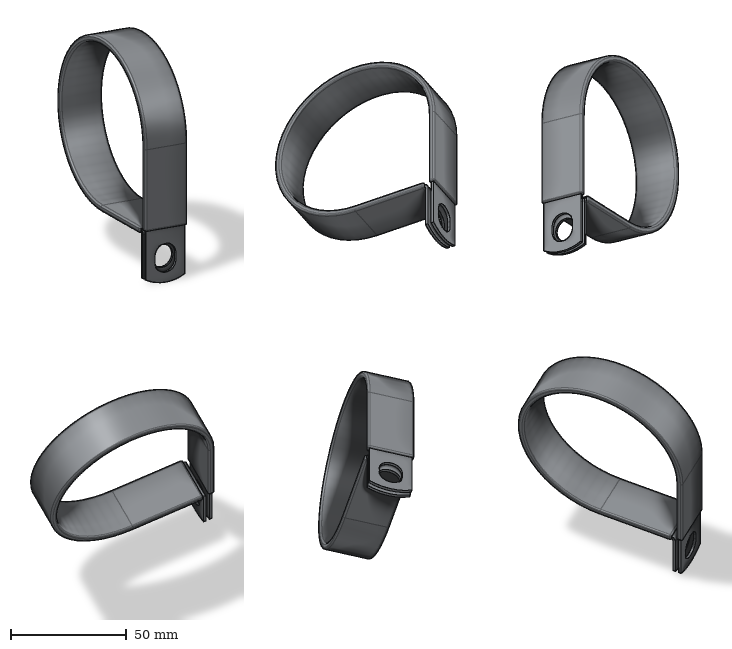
import cadquery as cq
import math

COS_45 = math.sqrt(0.5)


inner_diameter = 73.025
cushion_thickness = 0.79375
strap_thickness = 1.2192
strap_width = 19.05
bend_inner_radius = 1.17
cushion_end_x = 33.97
tab_tip_drop = 61.9125
hole_drop = 50.8
hole_diameter = 10.3
slot_length = 13.1
tip_radius = 20.6

cushion_inner_radius = inner_diameter / 2
strap_inner_radius = cushion_inner_radius + cushion_thickness
strap_outer_radius = strap_inner_radius + strap_thickness
cushion_outer_radius = strap_outer_radius + cushion_thickness
cushion_width = strap_width + 2 * cushion_thickness
tab_gap = 2 * cushion_thickness
bend_outer_radius = bend_inner_radius + strap_thickness
bent_tab_face_x = strap_inner_radius - tab_gap
bent_tab_back_x = bent_tab_face_x - strap_thickness
bend_start_x = bent_tab_face_x - bend_outer_radius
cushion_end_z = -strap_inner_radius


def loop_band(inner_radius, outer_radius, lower_end_x, upright_end_z, width):
    """Band of three quarters of a circle, with a tangent leg along X and a tangent leg down Z."""
    profile = (
        cq.Workplane("XZ")
        .moveTo(lower_end_x, -outer_radius)
        .lineTo(0, -outer_radius)
        .threePointArc((-outer_radius * COS_45, outer_radius * COS_45), (outer_radius, 0))
        .lineTo(outer_radius, upright_end_z)
        .lineTo(inner_radius, upright_end_z)
        .lineTo(inner_radius, 0)
        .threePointArc((-inner_radius * COS_45, inner_radius * COS_45), (0, -inner_radius))
        .lineTo(lower_end_x, -inner_radius)
        .close()
    )
    return profile.extrude(width / 2, both=True)


def make_cushion():
    """Cushion with every outside edge rounded, stopping short of both tabs."""
    band = loop_band(
        cushion_inner_radius, cushion_outer_radius, cushion_end_x, cushion_end_z, cushion_width
    )
    side_edges = band.faces("<Y or >Y").edges()
    middle_radius = (cushion_inner_radius + cushion_outer_radius) / 2
    upright_point = (middle_radius, 0, cushion_end_z)
    lower_point = (cushion_end_x, 0, -middle_radius)
    upright_end = band.faces(cq.selectors.NearestToPointSelector(upright_point)).edges("|Y")
    lower_end = band.faces(cq.selectors.NearestToPointSelector(lower_point)).edges("|Y")
    return side_edges.add(upright_end).add(lower_end).fillet(cushion_thickness)


def make_bent_tab():
    """Tab that turns down from the end of the lower leg."""
    bend_center_z = -strap_inner_radius - bend_outer_radius
    profile = (
        cq.Workplane("XZ")
        .moveTo(bend_start_x, -strap_outer_radius)
        .threePointArc(
            (bend_start_x + bend_inner_radius * COS_45, bend_center_z + bend_inner_radius * COS_45),
            (bent_tab_back_x, bend_center_z),
        )
        .lineTo(bent_tab_back_x, -tab_tip_drop)
        .lineTo(bent_tab_face_x, -tab_tip_drop)
        .lineTo(bent_tab_face_x, bend_center_z)
        .threePointArc(
            (bend_start_x + bend_outer_radius * COS_45, bend_center_z + bend_outer_radius * COS_45),
            (bend_start_x, -strap_inner_radius),
        )
        .close()
    )
    return profile.extrude(strap_width / 2, both=True)


def below_tips_cutter():
    """Material removed below the rounded tips of both tabs."""
    half_width = strap_width / 2
    corner_z = -tab_tip_drop + tip_radius - math.sqrt(tip_radius**2 - half_width**2)
    return (
        cq.Workplane("YZ")
        .moveTo(-half_width, corner_z)
        .threePointArc((0, -tab_tip_drop), (half_width, corner_z))
        .lineTo(half_width, -tab_tip_drop)
        .lineTo(-half_width, -tab_tip_drop)
        .close()
        .extrude(cushion_outer_radius)
    )


def hole_cutter():
    """Round bolt hole through the bent tab."""
    return (
        cq.Workplane("YZ", origin=(bent_tab_back_x, 0, -hole_drop))
        .circle(hole_diameter / 2)
        .extrude(strap_thickness)
    )


def slot_cutter():
    """Adjustment slot through the straight tab, level with the bolt hole."""
    return (
        cq.Workplane("YZ", origin=(strap_inner_radius, 0, -hole_drop))
        .slot2D(slot_length, hole_diameter, angle=90)
        .extrude(strap_thickness)
    )


strap = loop_band(
    strap_inner_radius, strap_outer_radius, bend_start_x, -tab_tip_drop, strap_width
).union(make_bent_tab())

result = (
    make_cushion()
    .union(strap)
    .cut(below_tips_cutter())
    .cut(hole_cutter())
    .cut(slot_cutter())
)